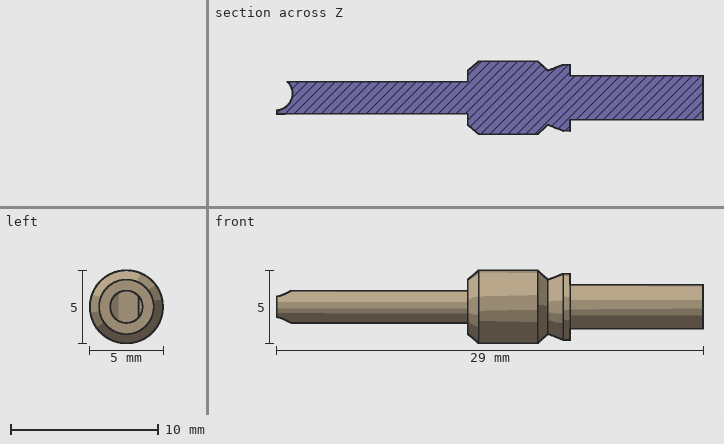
import cadquery as cq

body_start = 13.0
body_full_start = 13.75
body_full_end = 17.75
neck_position = 18.45
flange_start = 19.5
tail_start = 19.95
total_length = 29.0

pin_radius = 1.1
body_radius = 2.5
neck_radius = 1.85
flange_radius = 2.25
tail_radius = 1.5

scoop_radius = 1.13
scoop_depth = 1.07
scoop_offset = 0.3


def turned_body():
    """Stepped pin, collar and tail revolved about the X axis."""
    profile = [
        (0, 0),
        (0, pin_radius),
        (body_start, pin_radius),
        (body_start, neck_radius),
        (body_full_start, body_radius),
        (body_full_end, body_radius),
        (neck_position, neck_radius),
        (flange_start, flange_radius),
        (tail_start, flange_radius),
        (tail_start, tail_radius),
        (total_length, tail_radius),
        (total_length, 0),
    ]
    return cq.Workplane("XY").polyline(profile).close().revolve(360, (0, 0), (1, 0))


def tip_scoop():
    """Cylinder along Z that hollows the end of the pin."""
    return (
        cq.Workplane("XY")
        .center(scoop_depth - scoop_radius, scoop_offset)
        .circle(scoop_radius)
        .extrude(body_radius, both=True)
    )


result = turned_body().cut(tip_scoop())